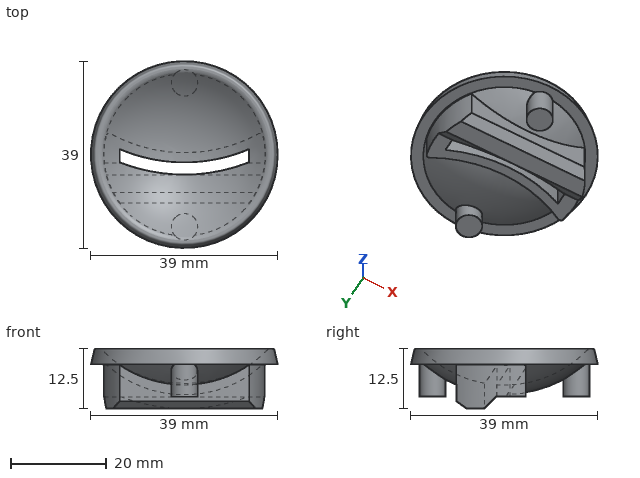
import cadquery as cq
import math

RIM_RADIUS = 19.5
RIM_HEIGHT = 3.3
RIM_TAPER = 13.0
RIM_OUTER_FILLET = 0.5
RIM_INNER_FILLET = 1.0

BOWL_INNER_RADIUS = 24.0
BOWL_WALL = 2.0
BOWL_CENTRE_Z = 19.75
BOWL_OUTER_RADIUS = BOWL_INNER_RADIUS + BOWL_WALL

PIN_DIAMETER = 5.5
PIN_OFFSET = 15.0
PIN_DEPTH = 6.7

SLOT_WIDTH = 2.5
SLOT_LENGTH = 26.9
SLOT_ARC_CENTRE_Y = 32.6
SLOT_BACK_RADIUS = 34.25
SLOT_FRONT_RADIUS = SLOT_BACK_RADIUS + SLOT_WIDTH

BLOCK_RADIUS = 16.8
BLOCK_FRONT_Y = -10.0
BLOCK_BACK_WALL = 2.1
BLOCK_BACK_RADIUS = SLOT_BACK_RADIUS - BLOCK_BACK_WALL
BLOCK_CORNER_FILLET = 0.6

TOOTH_DROP = 2.5
TOOTH_BOTTOM_Z = -PIN_DEPTH - TOOTH_DROP
TOOTH_ROOT_Y = -1.7
TOOTH_BACK_Y = TOOTH_ROOT_Y - TOOTH_DROP
TOOTH_CHAMFER_DEPTH = 2.1
TOOTH_CHAMFER_HEIGHT = 1.5

CUT_MARGIN = 1.0


def bowl_sphere(radius):
    return cq.Workplane("XY").sphere(radius).translate((0, 0, BOWL_CENTRE_Z))


def make_rim():
    top_radius = RIM_RADIUS - RIM_HEIGHT * math.tan(math.radians(RIM_TAPER))
    profile = [(0, 0), (RIM_RADIUS, 0), (top_radius, RIM_HEIGHT), (0, RIM_HEIGHT)]
    return cq.Workplane("XZ").polyline(profile).close().revolve(360, (0, 0), (0, 1))


def make_bowl_underside():
    size = 2 * RIM_RADIUS
    below_rim = cq.Workplane("XY").rect(size, size).extrude(-BOWL_OUTER_RADIUS)
    return bowl_sphere(BOWL_OUTER_RADIUS).intersect(below_rim)


def make_pins():
    places = [(0, -PIN_OFFSET), (0, PIN_OFFSET)]
    return cq.Workplane("XY").pushPoints(places).circle(PIN_DIAMETER / 2).extrude(-PIN_DEPTH)


def make_block():
    front_x = math.sqrt(BLOCK_RADIUS**2 - BLOCK_FRONT_Y**2)
    corner_y = (BLOCK_RADIUS**2 + SLOT_ARC_CENTRE_Y**2 - BLOCK_BACK_RADIUS**2) / (2 * SLOT_ARC_CENTRE_Y)
    corner_x = math.sqrt(BLOCK_RADIUS**2 - corner_y**2)
    back_middle_y = SLOT_ARC_CENTRE_Y - BLOCK_BACK_RADIUS
    plan = (
        cq.Workplane("XY")
        .moveTo(-front_x, BLOCK_FRONT_Y)
        .lineTo(front_x, BLOCK_FRONT_Y)
        .threePointArc((BLOCK_RADIUS, 0), (corner_x, corner_y))
        .threePointArc((0, back_middle_y), (-corner_x, corner_y))
        .threePointArc((-BLOCK_RADIUS, 0), (-front_x, BLOCK_FRONT_Y))
        .close()
        .extrude(TOOTH_BOTTOM_Z)
        .edges("|Z and >Y")
        .fillet(BLOCK_CORNER_FILLET)
    )

    profile = [
        (BLOCK_FRONT_Y, 0),
        (BLOCK_RADIUS, 0),
        (BLOCK_RADIUS, -PIN_DEPTH),
        (TOOTH_ROOT_Y, -PIN_DEPTH),
        (TOOTH_BACK_Y, TOOTH_BOTTOM_Z),
        (BLOCK_FRONT_Y + TOOTH_CHAMFER_DEPTH, TOOTH_BOTTOM_Z),
        (BLOCK_FRONT_Y, TOOTH_BOTTOM_Z + TOOTH_CHAMFER_HEIGHT),
    ]
    side = cq.Workplane("YZ").polyline(profile).close().extrude(BLOCK_RADIUS, both=True)
    return plan.intersect(side)


def make_slot_cutter():
    half_length = SLOT_LENGTH / 2

    def arc_y(radius, x):
        return SLOT_ARC_CENTRE_Y - math.sqrt(radius**2 - x**2)

    back_end_y = arc_y(SLOT_BACK_RADIUS, half_length)
    front_end_y = arc_y(SLOT_FRONT_RADIUS, half_length)
    return (
        cq.Workplane("XY")
        .workplane(offset=TOOTH_BOTTOM_Z - CUT_MARGIN)
        .moveTo(-half_length, back_end_y)
        .threePointArc((0, arc_y(SLOT_BACK_RADIUS, 0)), (half_length, back_end_y))
        .lineTo(half_length, front_end_y)
        .threePointArc((0, arc_y(SLOT_FRONT_RADIUS, 0)), (-half_length, front_end_y))
        .close()
        .extrude(RIM_HEIGHT - TOOTH_BOTTOM_Z + 2 * CUT_MARGIN)
    )


def round_rim(body):
    outer_edge = body.faces(">Z").edges(cq.selectors.RadiusNthSelector(-1))
    body = outer_edge.fillet(RIM_OUTER_FILLET)
    inner_edge = body.faces(">Z").edges(cq.selectors.RadiusNthSelector(0))
    return inner_edge.fillet(RIM_INNER_FILLET)


body = make_rim().union(make_bowl_underside()).union(make_pins()).union(make_block())
body = body.cut(bowl_sphere(BOWL_INNER_RADIUS))
body = round_rim(body)
result = body.cut(make_slot_cutter())